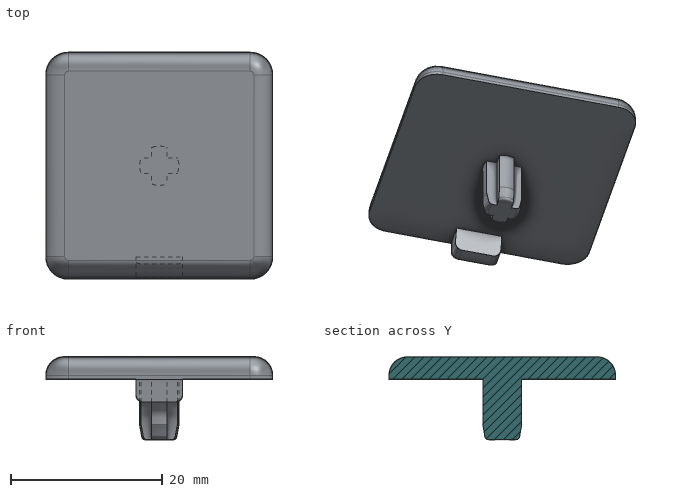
import cadquery as cq

plate_side = 30.0
plate_height = 3.0
plate_corner_radius = 3.0
plate_rim_height = 0.5
plate_top_radius = plate_height - plate_rim_height

plug_length = 8.0
plug_radius = 2.6
plug_arm_width = 2.0
plug_straight_length = 6.0
plug_tip_radius = 2.25
plug_tip_fillet = 0.5

tab_width = 6.2
tab_height = 3.0
tab_corner_radius = 1.0
tab_root_depth = 2.7
tab_tip_depth = 1.75
tab_edge_inset = 0.25


def make_plate():
    block = cq.Workplane("XY").rect(plate_side, plate_side).extrude(plate_height)
    return block.edges("|Z").fillet(plate_corner_radius).faces(">Z").edges().fillet(plate_top_radius)


def make_plug():
    """Tapered round pin, trimmed to two crossing arms."""
    pin = (
        cq.Workplane("XZ")
        .moveTo(0, 0)
        .lineTo(plug_radius, 0)
        .lineTo(plug_radius, -plug_straight_length)
        .lineTo(plug_tip_radius, -plug_length)
        .lineTo(0, -plug_length)
        .close()
        .revolve(360, (0, 0, 0), (0, 1, 0))
        .faces("<Z")
        .edges()
        .fillet(plug_tip_fillet)
    )
    arm_length = 2 * plug_radius
    arm_along_x = cq.Workplane("XY").rect(arm_length, plug_arm_width).extrude(-plug_length)
    arm_along_y = cq.Workplane("XY").rect(plug_arm_width, arm_length).extrude(-plug_length)
    return pin.intersect(arm_along_x.union(arm_along_y))


def make_tab():
    """Tab with an upright outer face, a sloping inner face and rounded lower corners."""
    outer_y = -plate_side / 2 + tab_edge_inset
    wedge = (
        cq.Workplane("YZ")
        .moveTo(outer_y, 0)
        .lineTo(outer_y + tab_root_depth, 0)
        .lineTo(outer_y + tab_tip_depth, -tab_height)
        .lineTo(outer_y, -tab_height)
        .close()
        .extrude(tab_width / 2, both=True)
    )
    rounded_face = (
        cq.Workplane("XY")
        .box(tab_width, plate_side, tab_height)
        .edges("|Y and <Z")
        .fillet(tab_corner_radius)
        .translate((0, 0, -tab_height / 2))
    )
    return wedge.intersect(rounded_face)


result = make_plate().union(make_plug()).union(make_tab())